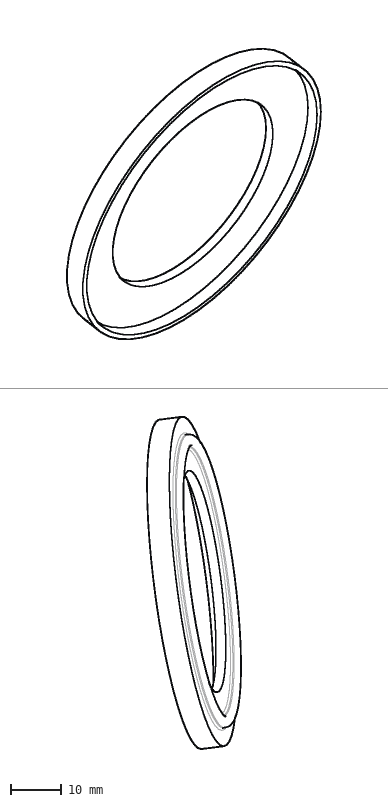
import cadquery as cq

outer_diameter = 66.2
bore_diameter = 44.5
total_thickness = 6.4
plate_thickness = 4.6

bead_outer_diameter = 58.9
bead_inner_diameter = 54.1
root_fillet = 0.4

bead_height = total_thickness - plate_thickness
bead_outer_radius = bead_outer_diameter / 2
bead_inner_radius = bead_inner_diameter / 2
bead_middle_radius = (bead_outer_radius + bead_inner_radius) / 2
crown_radius = (bead_outer_radius - bead_inner_radius) / 2
crown_start = crown_radius - bead_height

recess_diameter = 64.0
floor_thickness = 2.0

plate = (
    cq.Workplane("YZ")
    .circle(outer_diameter / 2)
    .circle(bore_diameter / 2)
    .extrude(plate_thickness)
)


def make_bead():
    """Revolve a half-round bead with concave fillets at its root."""
    overlap = floor_thickness / 2
    root_inner_radius = bead_inner_radius - root_fillet
    root_outer_radius = bead_outer_radius + root_fillet
    return (
        cq.Workplane("XY")
        .moveTo(overlap, root_inner_radius)
        .lineTo(0, root_inner_radius)
        .radiusArc((-root_fillet, bead_inner_radius), -root_fillet)
        .lineTo(crown_start, bead_inner_radius)
        .threePointArc((-bead_height, bead_middle_radius), (crown_start, bead_outer_radius))
        .lineTo(-root_fillet, bead_outer_radius)
        .radiusArc((0, root_outer_radius), -root_fillet)
        .lineTo(overlap, root_outer_radius)
        .close()
        .revolve(360, (0, 0, 0), (1, 0, 0))
    )


recess = (
    cq.Workplane("YZ", origin=(floor_thickness, 0, 0))
    .circle(recess_diameter / 2)
    .extrude(plate_thickness - floor_thickness)
)

result = plate.union(make_bead()).cut(recess)